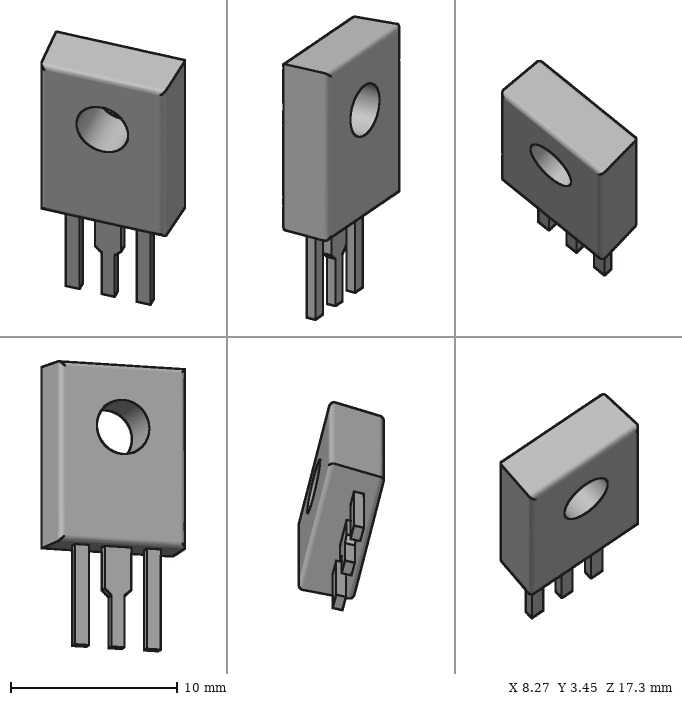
import cadquery as cq

DEPTH = 3.45
FRONT_WIDTH = 7.95
BACK_WIDTH = 8.3
FRONT_BOTTOM = 6.1
FRONT_TOP = 17.11
BACK_BOTTOM = 6.2
BACK_TOP = 17.32
EDGE_RADIUS = 0.31
HOLE_DIAMETER = 3.3
HOLE_HEIGHT = 13.29

LEAD_THICKNESS = 0.6
LEAD_FRONT_SETBACK = 1.0
LEAD_CENTER_Y = LEAD_FRONT_SETBACK + LEAD_THICKNESS / 2
LEAD_PITCH = 2.27
OUTER_LEAD_WIDTH = 0.88
CENTER_TIP_WIDTH = 0.83
CENTER_ROOT_WIDTH = 1.68
TIP_TOP = 3.13
ROOT_BOTTOM = 3.53
LEAD_BLANK_TOP = BACK_BOTTOM + 0.17


def face_outline(y, width, bottom, top):
    """Closed rectangular wire in the XZ plane at depth y."""
    half_width = width / 2
    corners = [
        cq.Vector(-half_width, y, bottom),
        cq.Vector(half_width, y, bottom),
        cq.Vector(half_width, y, top),
        cq.Vector(-half_width, y, top),
    ]
    return cq.Wire.makePolygon(corners, close=True)


def make_housing():
    """Drafted block with rounded front and back rims and a through hole."""
    front = face_outline(0, FRONT_WIDTH, FRONT_BOTTOM, FRONT_TOP)
    back = face_outline(DEPTH, BACK_WIDTH, BACK_BOTTOM, BACK_TOP)
    block = cq.Workplane(cq.Solid.makeLoft([front, back], True))
    block = block.faces("<Y or >Y").edges().fillet(EDGE_RADIUS)
    hole = (
        cq.Workplane("XZ")
        .center(0, HOLE_HEIGHT)
        .circle(HOLE_DIAMETER / 2)
        .extrude(-DEPTH)
    )
    return block.cut(hole)


def lead_plane():
    """XZ plane through the middle of the leads' thickness."""
    return cq.Workplane("XZ", origin=(0, LEAD_CENTER_Y, 0))


def make_outer_lead(x, housing):
    """Straight lead centred at x, trimmed to meet the housing underside."""
    blank = (
        lead_plane()
        .center(x, LEAD_BLANK_TOP / 2)
        .rect(OUTER_LEAD_WIDTH, LEAD_BLANK_TOP)
        .extrude(LEAD_THICKNESS / 2, both=True)
    )
    return blank.cut(housing)


def make_center_lead(housing):
    """Lead with a wide root tapering to a narrow tip, trimmed to the housing."""
    half_tip = CENTER_TIP_WIDTH / 2
    half_root = CENTER_ROOT_WIDTH / 2
    blank = (
        lead_plane()
        .moveTo(-half_tip, 0)
        .lineTo(half_tip, 0)
        .lineTo(half_tip, TIP_TOP)
        .lineTo(half_root, ROOT_BOTTOM)
        .lineTo(half_root, LEAD_BLANK_TOP)
        .lineTo(-half_root, LEAD_BLANK_TOP)
        .lineTo(-half_root, ROOT_BOTTOM)
        .lineTo(-half_tip, TIP_TOP)
        .close()
        .extrude(LEAD_THICKNESS / 2, both=True)
    )
    return blank.cut(housing)


housing = make_housing()
center_lead = make_center_lead(housing)
outer_leads = []
for side in (-1, 1):
    outer_leads.append(make_outer_lead(side * LEAD_PITCH, housing).solids().val())

result = cq.Compound.makeCompound([housing.solids().val(), center_lead.solids().val(), *outer_leads])